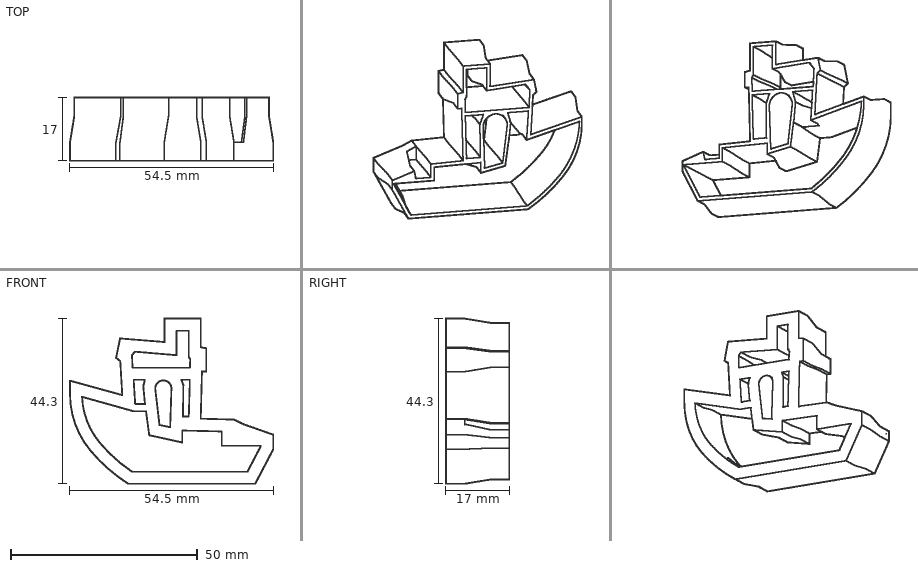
import math

import cadquery as cq

RIM_DEPTH = 5.0
TAPER_DEPTH = 7.0
BLADE_DEPTH = 5.0
WALL = 3.3
BLADE_WALL = 1.0
SHRINK = (WALL - BLADE_WALL) / 2

LENGTH = 54.45
HEIGHT = 44.26

STEM_TOP = 27.65
STEM_FOOT = 24.0
BOW_RADIUS = 23.5
BILGE_RADIUS = 44.0
BOW_END_ANGLE = 39.8

TRANSOM_TOP = 13.2
TRANSOM_KNEE = 9.29
KEEL_END = 49.6
DECK_END = 43.9
DECK_END_Z = 17.24
SHELF_Z = 10.2
BULWARK_START = (46.45, 16.0)
BULWARK_END = (53.2, 13.62)
WELL_FOOT = 45.9
BULWARK_BEND_SLIDE = 1.25

CHIMNEY_LEFT = 25.25
CHIMNEY_RIGHT = 35.04
EAVE_RIGHT = 36.52
CABIN_RIGHT_TOP = 35.37
EAVE_BOTTOM = 30.02
CABIN_BEAM_TOP = 31.1
CABIN_BEAM_BOTTOM = CABIN_BEAM_TOP - WALL

CABIN_FOOT_RIGHT_Z = 17.48
EAVE_RIGHT_START_Z = 36.3
EAVE_RIGHT_ROOT_Z = 36.6
ROOF_AT_CHIMNEY_Z = 38.0
ROOF_FRONT = (13.4, 38.95)
EAVE_LEFT_TIP = (12.34, 33.75)
EAVE_LEFT_ROOT = (13.45, 32.85)
CABIN_FOOT_LEFT = (13.98, 23.8)

BOW_DECK_Z = 23.25
BOW_DECK_END_X = 17.15
CABIN_STEP = (20.35, 19.38)
DOORSTEP_LEFT = (21.2, 13.0)
DOORSTEP_RIGHT = (30.1, 11.05)
AFT_DECK_START_Z = 14.25
AFT_DECK_END_Z = 14.0
OPENING_KEEL_END = 47.5
OPENING_TRANSOM_X = 51.1

WHEELHOUSE_FOOT_LEFT = 16.8
WHEELHOUSE_FOOT_RIGHT = 32.1
WHEELHOUSE_BULGE = (32.16, 33.35)
CHIMNEY_BORE_FOOT_RIGHT_Z = 34.1
CHIMNEY_BORE_FOOT_LEFT_Z = 34.4
WHEELHOUSE_BEVEL_TOP = (17.4, 35.35)
WHEELHOUSE_BEVEL_FOOT = (16.65, 34.45)

LEFT_WINDOW_TOP = (17.1, 20.05)
LEFT_WINDOW_FOOT = (17.5, 20.05)
LEFT_WINDOW_SILL = 21.4
LEFT_WINDOW_BEND = (19.6, 26.2)
RIGHT_WINDOW_TOP = (29.9, CABIN_RIGHT_TOP - WALL)
RIGHT_WINDOW_FOOT = (30.28, 31.78)
RIGHT_WINDOW_SILL = 18.05
RIGHT_WINDOW_BEND = (30.4, 26.4)

DOOR_SILL_LEFT = (24.0, 15.8)
DOOR_SILL_RIGHT = (26.8, 15.2)
DOOR_CENTER_X = 25.0
DOOR_SPRING_Z = 25.52
DOOR_RADIUS = 2.14


def polar(center, radius, degrees):
    angle = math.radians(degrees)
    return (center[0] + radius * math.cos(angle), center[1] + radius * math.sin(angle))


def arc(center, radius, start, end):
    """Middle and end of an arc; the middle is marked as a point the arc passes through."""
    return [(*polar(center, radius, (start + end) / 2), "through"), polar(center, radius, end)]


def bow_curve(inset):
    """Bow and bilge arcs, moved inward by inset, ending on the level of the keel plate."""
    bow_center = (BOW_RADIUS, STEM_FOOT)
    join_angle = 180 + BOW_END_ANGLE
    bilge_center = polar(bow_center, BILGE_RADIUS - BOW_RADIUS, BOW_END_ANGLE)
    bilge_radius = BILGE_RADIUS - inset
    keel_angle = 180 + math.degrees(math.asin((bilge_center[1] - inset) / bilge_radius))
    return (
        arc(bow_center, BOW_RADIUS - inset, 180, join_angle)
        + arc(bilge_center, bilge_radius, join_angle, keel_angle)
    )


def outer_outline(with_well):
    """Boat silhouette, counter-clockwise; the well is the notch between deck and bulwark."""
    well_floor = SHELF_Z + WALL
    well = [(WELL_FOOT, well_floor), (DECK_END, well_floor)] if with_well else []
    return [
        (0, STEM_TOP),
        (0, STEM_FOOT),
        *bow_curve(0),
        (KEEL_END, 0),
        (LENGTH, TRANSOM_KNEE),
        (LENGTH, TRANSOM_TOP),
        BULWARK_END,
        BULWARK_START,
        *well,
        (DECK_END, DECK_END_Z),
        (CHIMNEY_RIGHT, CABIN_FOOT_RIGHT_Z),
        (CABIN_RIGHT_TOP, EAVE_BOTTOM),
        (EAVE_RIGHT, EAVE_BOTTOM),
        (EAVE_RIGHT, EAVE_RIGHT_START_Z),
        (CHIMNEY_RIGHT, EAVE_RIGHT_ROOT_Z),
        (CHIMNEY_RIGHT, HEIGHT),
        (CHIMNEY_LEFT, HEIGHT),
        (CHIMNEY_LEFT, ROOF_AT_CHIMNEY_Z),
        ROOF_FRONT,
        EAVE_LEFT_TIP,
        EAVE_LEFT_ROOT,
        CABIN_FOOT_LEFT,
    ]


def hull_opening():
    return [
        (WALL, BOW_DECK_Z),
        *bow_curve(WALL),
        (OPENING_KEEL_END, WALL),
        (OPENING_TRANSOM_X, SHELF_Z),
        (DECK_END - WALL, SHELF_Z),
        (DECK_END - WALL, AFT_DECK_END_Z),
        (DOORSTEP_RIGHT[0], AFT_DECK_START_Z),
        DOORSTEP_RIGHT,
        DOORSTEP_LEFT,
        CABIN_STEP,
        (BOW_DECK_END_X, CABIN_STEP[1]),
    ]


def wheelhouse_opening():
    return [
        (WHEELHOUSE_FOOT_LEFT, CABIN_BEAM_TOP),
        (WHEELHOUSE_FOOT_RIGHT, CABIN_BEAM_TOP),
        WHEELHOUSE_BULGE,
        (CHIMNEY_RIGHT - WALL, CHIMNEY_BORE_FOOT_RIGHT_Z),
        (CHIMNEY_RIGHT - WALL, HEIGHT - WALL),
        (CHIMNEY_LEFT + WALL, HEIGHT - WALL),
        (CHIMNEY_LEFT + WALL, CHIMNEY_BORE_FOOT_LEFT_Z),
        WHEELHOUSE_BEVEL_TOP,
        WHEELHOUSE_BEVEL_FOOT,
    ]


def left_window():
    return [
        (LEFT_WINDOW_TOP[0], CABIN_BEAM_BOTTOM),
        (LEFT_WINDOW_FOOT[0], LEFT_WINDOW_SILL),
        (LEFT_WINDOW_FOOT[1], LEFT_WINDOW_SILL),
        LEFT_WINDOW_BEND,
        (LEFT_WINDOW_TOP[1], CABIN_BEAM_BOTTOM),
    ]


def right_window():
    return [
        (RIGHT_WINDOW_TOP[0], CABIN_BEAM_BOTTOM),
        RIGHT_WINDOW_BEND,
        (RIGHT_WINDOW_FOOT[0], RIGHT_WINDOW_SILL),
        (RIGHT_WINDOW_FOOT[1], RIGHT_WINDOW_SILL),
        (RIGHT_WINDOW_TOP[1], CABIN_BEAM_BOTTOM),
    ]


def door():
    head_center = (DOOR_CENTER_X, DOOR_SPRING_Z)
    return [
        DOOR_SILL_LEFT,
        DOOR_SILL_RIGHT,
        (DOOR_CENTER_X + DOOR_RADIUS, DOOR_SPRING_Z),
        *arc(head_center, DOOR_RADIUS, 0, 90),
        *arc(head_center, DOOR_RADIUS, 90, 180),
    ]


def left_normal(start, end):
    run = end[0] - start[0]
    rise = end[1] - start[1]
    length = math.hypot(run, rise)
    return (-rise / length, run / length)


def inset_outline(points, distance):
    """Move a counter-clockwise outline inward; a negative distance moves it outward."""
    moved = []
    for i, point in enumerate(points):
        before = left_normal(points[i - 1], point)
        after = left_normal(point, points[(i + 1) % len(points)])
        cosine = before[0] * after[0] + before[1] * after[1]
        stretch = distance / (1 + cosine)
        if "through" in point:
            stretch = distance / math.sqrt(2 * (1 + cosine))
        x = point[0] + stretch * (before[0] + after[0])
        z = point[1] + stretch * (before[1] + after[1])
        moved.append((x, z, *point[2:]))
    return moved


def wire_at(points, y):
    """Closed wire in the XZ plane at y, with arcs over the marked through points."""
    edges = []
    start = cq.Vector(points[0][0], y, points[0][1])
    through = None
    for point in points[1:] + points[:1]:
        end = cq.Vector(point[0], y, point[1])
        if "through" in point:
            through = end
            continue
        if through:
            edges.append(cq.Edge.makeThreePointArc(start, through, end))
        else:
            edges.append(cq.Edge.makeLine(start, end))
        start = end
        through = None
    return cq.Wire.assembleEdges(edges)


def rim(points):
    return cq.Solid.extrudeLinear(wire_at(points, 0), [], cq.Vector(0, RIM_DEPTH, 0))


def outer_blade_outline(points):
    """Inset silhouette, with the bulwark's end bend slid forward along the bulwark."""
    moved = inset_outline(points, SHRINK)
    bend = points.index(BULWARK_END)
    slope = (BULWARK_START[1] - BULWARK_END[1]) / (BULWARK_START[0] - BULWARK_END[0])
    x, z = moved[bend]
    moved[bend] = (x - BULWARK_BEND_SLIDE, z - slope * BULWARK_BEND_SLIDE)
    return moved


def taper_and_blade(points, blade_points):
    blade_start = RIM_DEPTH + TAPER_DEPTH
    blade_wire = wire_at(blade_points, blade_start)
    taper = cq.Solid.makeLoft([wire_at(points, RIM_DEPTH), blade_wire], True)
    blade = cq.Solid.extrudeLinear(blade_wire, [], cq.Vector(0, BLADE_DEPTH, 0))
    return taper, blade


def boat_frame():
    front = cq.Workplane(obj=rim(outer_outline(with_well=False)))
    silhouette = outer_outline(with_well=True)
    taper, blade = taper_and_blade(silhouette, outer_blade_outline(silhouette))
    openings = [hull_opening(), wheelhouse_opening(), left_window(), right_window(), door()]
    for opening in openings:
        taper_cut, blade_cut = taper_and_blade(opening, inset_outline(opening, -SHRINK))
        front = front.cut(cq.Workplane(obj=rim(opening)))
        taper = taper.cut(taper_cut)
        blade = blade.cut(blade_cut)
    return front.union(cq.Workplane(obj=taper)).union(cq.Workplane(obj=blade))


result = boat_frame()